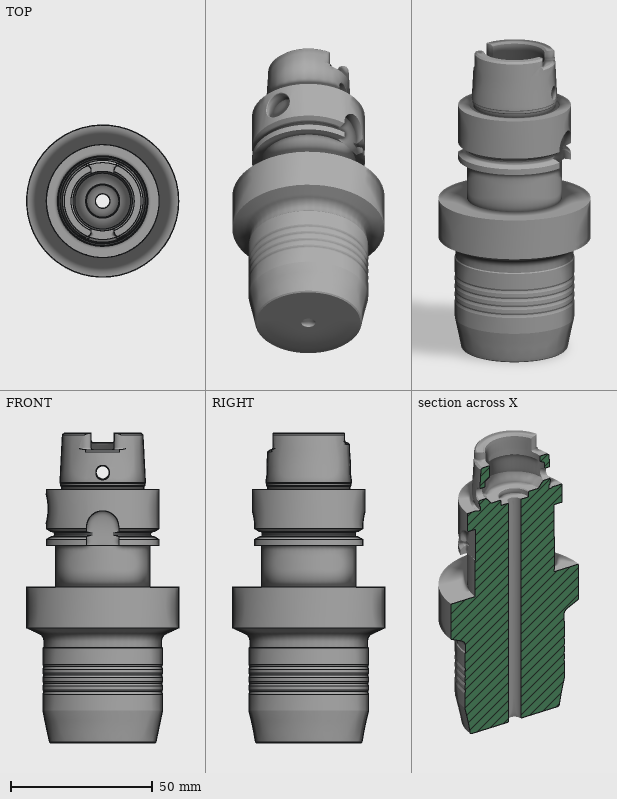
import cadquery as cq
import math

LENGTH = 109.9

SHANK_TIP_R = 14.3
SHANK_BASE_R = 15.2
SHANK_BASE_Z = 92.3
TIP_CHAMFER = 0.7
NECK_R = 14.6
NECK_STEP_R = 15.0
NECK_STEP_Z = 91.2
NECK_EDGE_H = 0.3
FACE_RELIEF_R = 16.0
FACE_RELIEF_DEPTH = 0.3

FLANGE_R = 20.0
FLANGE_TOP_Z = 89.9
FLANGE_BOTTOM_Z = 70.0
GROOVE_MID_Z = 74.1
GROOVE_HALF_SECTION = (
    (FLANGE_R, 2.0),
    (18.5, 1.0),
    (17.5, 0.8),
    (17.0, 0.3),
)

STEM_R = 16.8
COLLAR_DIAMETER = 54.0
COLLAR_R = COLLAR_DIAMETER / 2
COLLAR_TOP_Z = 55.3
COLLAR_BOTTOM_Z = 40.9
COLLAR_CONE_ANGLE = 25.0
COLLAR_FILLET_R = 2.6

WAIST_R = 20.9
BODY_R = 21.2
BODY_TOP_Z = 34.0
RING_COUNT = 4
RING_FIRST_Z = 27.8
RING_PITCH = 3.0
RING_WIDTH = 1.6
RING_UPPER_FLANK = 0.7
NOSE_TOP_Z = 11.4
NOSE_R = 18.9
NOSE_CHAMFER = 0.4

BORE_R = 10.5
BORE_CHAMFER = 0.7
BORE_LIP_Z = 101.8
UNDERCUT_R = 12.4
UNDERCUT_TOP_Z = 100.7
UNDERCUT_BOTTOM_Z = 94.0
BORE_FLOOR_R = 9.9
BORE_FLOOR_Z = 91.1
RECESS_R = 5.7
RECESS_CHAMFER = 0.3
RECESS_DEPTH = 2.2
THROUGH_R = 2.5

DRIVE_HALF_WIDTH = 4.1
DRIVE_EDGE_R = 2.0
DRIVE_EDGE_Y = 10.8
DRIVE_FLARE_ANGLE = 24.0
DRIVE_FLARE_HALF_WIDTH = 9.2
DRIVE_FLOOR_FILLET = 0.7
FRONT_DRIVE_FLOOR_Z = 104.0
BACK_DRIVE_FLOOR_Z = 106.5
DRIVE_SLOPE_R = 13.6
DRIVE_SLOPE_ANGLE = 38.0

CROSS_HOLE_R = 2.3
CROSS_HOLE_Z = 95.9
CROSS_COUNTERSINK_R = 2.6
SLOT_R = 5.7
SLOT_ARC_Z = 76.6
SLOT_FLAT_Y = 16.6
POCKET_R = 4.8
POCKET_Z = 83.1
POCKET_DEPTH = 4.5
POCKET_CHAMFER = 0.2

REACH = 33.0


def body_profile():
    """Half section of the turned body, with radius along X and height along Z."""
    groove_upper = [(r, GROOVE_MID_Z + h) for r, h in GROOVE_HALF_SECTION]
    groove_lower = [(r, GROOVE_MID_Z - h) for r, h in reversed(GROOVE_HALF_SECTION)]

    slope = math.radians(COLLAR_CONE_ANGLE)
    corner_z = COLLAR_BOTTOM_Z - (COLLAR_R - WAIST_R) * math.tan(slope)
    turn = math.pi / 2 - slope
    tangent = COLLAR_FILLET_R * math.tan(turn / 2)
    fillet_start = (WAIST_R + tangent * math.cos(slope), corner_z + tangent * math.sin(slope))
    fillet_end = (WAIST_R, corner_z - tangent)

    profile = (
        cq.Workplane("XZ")
        .moveTo(0, LENGTH)
        .lineTo(SHANK_TIP_R - TIP_CHAMFER, LENGTH)
        .lineTo(SHANK_TIP_R, LENGTH - TIP_CHAMFER)
        .lineTo(SHANK_BASE_R, SHANK_BASE_Z)
        .lineTo(NECK_STEP_R, SHANK_BASE_Z - NECK_EDGE_H)
        .lineTo(NECK_STEP_R, NECK_STEP_Z)
        .lineTo(NECK_R, NECK_STEP_Z - NECK_EDGE_H)
        .lineTo(NECK_R, FLANGE_TOP_Z - FACE_RELIEF_DEPTH)
        .lineTo(FACE_RELIEF_R - FACE_RELIEF_DEPTH, FLANGE_TOP_Z - FACE_RELIEF_DEPTH)
        .lineTo(FACE_RELIEF_R, FLANGE_TOP_Z)
        .lineTo(FLANGE_R, FLANGE_TOP_Z)
        .polyline(groove_upper + groove_lower, includeCurrent=True)
        .lineTo(FLANGE_R, FLANGE_BOTTOM_Z)
        .lineTo(STEM_R, FLANGE_BOTTOM_Z)
        .lineTo(STEM_R, COLLAR_TOP_Z)
        .lineTo(COLLAR_R, COLLAR_TOP_Z)
        .lineTo(COLLAR_R, COLLAR_BOTTOM_Z)
        .lineTo(*fillet_start)
        .tangentArcPoint(fillet_end, relative=False)
        .lineTo(WAIST_R, BODY_TOP_Z)
        .lineTo(BODY_R, BODY_TOP_Z - (BODY_R - WAIST_R))
    )
    for i in range(RING_COUNT):
        top = RING_FIRST_Z - i * RING_PITCH
        profile = (
            profile.lineTo(BODY_R, top)
            .lineTo(WAIST_R, top - RING_UPPER_FLANK)
            .lineTo(BODY_R, top - RING_WIDTH)
        )
    return (
        profile.lineTo(BODY_R, NOSE_TOP_Z)
        .lineTo(NOSE_R, NOSE_CHAMFER)
        .lineTo(NOSE_R - NOSE_CHAMFER, 0)
        .lineTo(0, 0)
        .close()
    )


def bore():
    """Stepped bore from the shank tip with a hole through the whole part."""
    recess_z = BORE_FLOOR_Z - RECESS_DEPTH
    return (
        cq.Workplane("XZ")
        .moveTo(0, LENGTH)
        .lineTo(BORE_R + BORE_CHAMFER, LENGTH)
        .lineTo(BORE_R, LENGTH - BORE_CHAMFER)
        .lineTo(BORE_R, BORE_LIP_Z)
        .lineTo(UNDERCUT_R, UNDERCUT_TOP_Z)
        .lineTo(UNDERCUT_R, UNDERCUT_BOTTOM_Z)
        .lineTo(BORE_FLOOR_R, BORE_FLOOR_Z)
        .lineTo(RECESS_R + RECESS_CHAMFER, BORE_FLOOR_Z)
        .lineTo(RECESS_R, BORE_FLOOR_Z - RECESS_CHAMFER)
        .lineTo(RECESS_R, recess_z)
        .lineTo(THROUGH_R, recess_z)
        .lineTo(THROUGH_R, 0)
        .lineTo(0, 0)
        .close()
        .revolve()
    )


def drive_slot(floor_z):
    """Drive slot on the +Y side: flared plan, filleted floor that drops away at its outer edge."""
    lean = math.radians(DRIVE_FLARE_ANGLE)
    centre_x = DRIVE_HALF_WIDTH + DRIVE_EDGE_R

    def arc_point(angle):
        return (
            centre_x - DRIVE_EDGE_R * math.cos(angle),
            DRIVE_EDGE_Y + DRIVE_EDGE_R * math.sin(angle),
        )

    arc_sweep = math.pi / 2 + lean
    arc_mid = arc_point(arc_sweep / 2)
    arc_end = arc_point(arc_sweep)
    flare_y = arc_end[1] - (DRIVE_FLARE_HALF_WIDTH - arc_end[0]) * math.tan(lean)
    drop = (REACH - DRIVE_SLOPE_R) * math.tan(math.radians(DRIVE_SLOPE_ANGLE))
    half_plan = (
        cq.Workplane("XY")
        .lineTo(DRIVE_HALF_WIDTH, 0)
        .lineTo(DRIVE_HALF_WIDTH, DRIVE_EDGE_Y)
        .threePointArc(arc_mid, arc_end)
        .lineTo(DRIVE_FLARE_HALF_WIDTH, flare_y)
        .lineTo(DRIVE_FLARE_HALF_WIDTH, REACH)
        .lineTo(0, REACH)
        .close()
        .extrude(LENGTH - floor_z)
        .translate((0, 0, floor_z))
    )
    slot = half_plan.union(half_plan.mirror("YZ"))
    wall_feet = cq.selectors.BoxSelector(
        (-DRIVE_FLARE_HALF_WIDTH, DRIVE_FLOOR_FILLET, floor_z - DRIVE_FLOOR_FILLET),
        (DRIVE_FLARE_HALF_WIDTH, DRIVE_SLOPE_R, floor_z + DRIVE_FLOOR_FILLET),
    )
    slot = slot.faces("<Z").edges(wall_feet).fillet(DRIVE_FLOOR_FILLET)
    cone = (
        cq.Workplane("XZ")
        .moveTo(DRIVE_SLOPE_R, floor_z)
        .lineTo(REACH, floor_z - drop)
        .lineTo(REACH, floor_z)
        .close()
        .revolve()
    )
    side = cq.Workplane("XY").box(2 * centre_x, REACH, 2 * LENGTH, centered=(True, False, True))
    return slot.union(cone.intersect(side))


def cross_hole():
    """Hole along Y through both shank walls, countersunk from outside."""
    fraction = (CROSS_HOLE_Z - SHANK_BASE_Z) / (LENGTH - TIP_CHAMFER - SHANK_BASE_Z)
    wall_r = SHANK_BASE_R + fraction * (SHANK_TIP_R - SHANK_BASE_R)
    cone_y = wall_r - (CROSS_COUNTERSINK_R - CROSS_HOLE_R)
    half = (
        cq.Workplane("XY")
        .lineTo(CROSS_HOLE_R, 0)
        .lineTo(CROSS_HOLE_R, cone_y)
        .lineTo(CROSS_COUNTERSINK_R, wall_r)
        .lineTo(CROSS_COUNTERSINK_R, REACH)
        .lineTo(0, REACH)
        .close()
        .revolve()
        .translate((0, 0, CROSS_HOLE_Z))
    )
    return half.union(half.mirror("XZ"))


def flange_slot():
    """Round-topped slot with a flat floor on the +Y side of the flange, open at the bottom."""
    return (
        cq.Workplane("XZ", origin=(0, SLOT_FLAT_Y, 0))
        .moveTo(-SLOT_R, FLANGE_BOTTOM_Z)
        .lineTo(SLOT_R, FLANGE_BOTTOM_Z)
        .lineTo(SLOT_R, SLOT_ARC_Z)
        .threePointArc((0, SLOT_ARC_Z + SLOT_R), (-SLOT_R, SLOT_ARC_Z))
        .close()
        .extrude(-(FLANGE_R - SLOT_FLAT_Y))
    )


def side_pocket():
    """Blind round pocket in the flange, entering from -X."""
    return (
        cq.Workplane("YZ", origin=(-FLANGE_R, 0, POCKET_Z))
        .circle(POCKET_R)
        .extrude(POCKET_DEPTH)
    )


result = body_profile().revolve().cut(bore())
result = result.cut(drive_slot(BACK_DRIVE_FLOOR_Z))
result = result.cut(drive_slot(FRONT_DRIVE_FLOOR_Z).mirror("XZ"))
result = result.cut(cross_hole())

slot = flange_slot()
result = result.cut(slot).cut(slot.mirror("XZ"))

result = result.cut(side_pocket())
pocket_rim = cq.selectors.BoxSelector(
    (-FLANGE_R, -POCKET_R, POCKET_Z - POCKET_R),
    (POCKET_DEPTH / 2 - FLANGE_R, POCKET_R, POCKET_Z + POCKET_R),
)
result = result.edges(pocket_rim).chamfer(POCKET_CHAMFER)